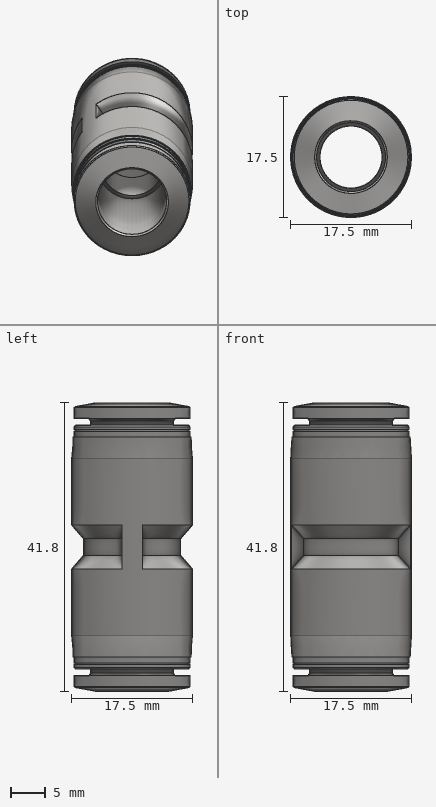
import cadquery as cq

length = 41.8
half_length = length / 2
body_radius = 17.5 / 2

collar_radius = 16.8 / 2
collar_face_edge_radius = 8.25
collar_face_drop = 0.55
collar_rim_depth = 0.7
collar_bottom_depth = 2.25
neck_radius = 12.0 / 2
neck_flare = 0.25
neck_flare_depth = 2.65

cap_depth = 3.2
cap_chamfer = 0.25
cap_radius = 8.4
groove_start_depth = 3.9
groove_width = 0.25
groove_radius = 8.28
step_depth = 4.97
step_radius = 8.55
taper_end_depth = 8.05

waist_half_height = 3.18
core_half_height = 1.2
core_radius = 7.02
rib_width = 2.95

tube_radius = 10.0 / 2
tube_depth = 16.7
through_radius = 9.0 / 2
mouth_radius = 5.25
mouth_depth = mouth_radius - tube_radius


def revolve_about_z(points):
    """Revolve a closed outline of (radius, z) points about the Z axis."""
    return cq.Workplane("XZ").polyline(points).close().revolve(360, (0, 0), (0, 1))


def revolve_mirrored(upper):
    """Revolve a full-length outline given by its upper half."""
    lower = [(radius, -z) for radius, z in reversed(upper)]
    return revolve_about_z([(0, half_length)] + upper + lower + [(0, -half_length)])


def make_outer_body():
    """Solid outer form: symmetric about its middle plane."""
    groove_end_depth = groove_start_depth + groove_width
    radius_and_depth = [
        (mouth_radius, 0),
        (collar_face_edge_radius, collar_face_drop),
        (collar_radius, collar_rim_depth),
        (collar_radius, collar_bottom_depth),
        (neck_radius + neck_flare, collar_bottom_depth),
        (neck_radius, neck_flare_depth),
        (neck_radius, cap_depth),
        (cap_radius - cap_chamfer, cap_depth),
        (cap_radius, cap_depth + cap_chamfer),
        (cap_radius, groove_start_depth),
        (groove_radius, groove_start_depth),
        (groove_radius, groove_end_depth),
        (cap_radius, groove_end_depth),
        (cap_radius, step_depth),
        (step_radius, step_depth),
        (body_radius, taper_end_depth),
    ]
    upper = [(radius, half_length - depth) for radius, depth in radius_and_depth]
    return revolve_mirrored(upper)


def make_waist_cut():
    """V-sided ring around the waist, left out where the ribs stand."""
    ring = revolve_about_z([
        (core_radius, core_half_height),
        (body_radius, waist_half_height),
        (2 * body_radius, waist_half_height),
        (2 * body_radius, -waist_half_height),
        (body_radius, -waist_half_height),
        (core_radius, -core_half_height),
    ])
    ribs = cq.Workplane("XY").box(length, rib_width, length)
    return ring.cut(ribs)


def make_bore():
    """Through bore with a wider, chamfered tube socket at both ends."""
    socket_floor = half_length - tube_depth
    upper = [
        (mouth_radius, half_length),
        (tube_radius, half_length - mouth_depth),
        (tube_radius, socket_floor),
        (through_radius, socket_floor),
    ]
    return revolve_mirrored(upper)


result = make_outer_body().cut(make_waist_cut()).cut(make_bore())